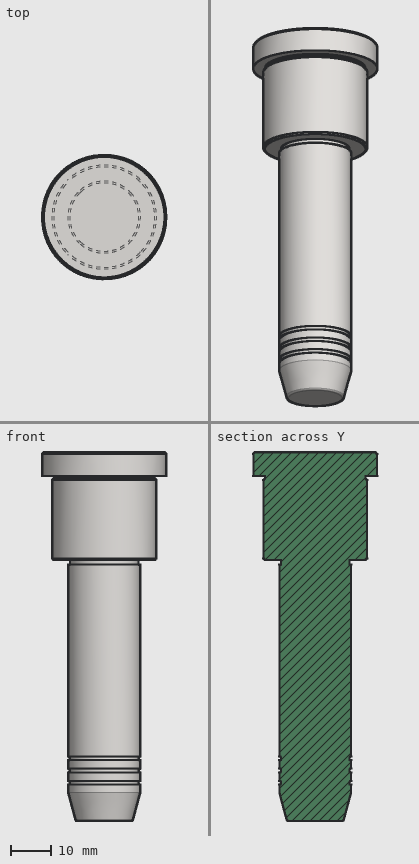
import cadquery as cq
import math

length = 92.0
head_height = 6.0
body_bottom = 65.0
nose_height = 7.2

head_radius = 31.0 / 2
body_radius = 26.0 / 2
shank_radius = 18.0 / 2

head_chamfer = 0.5
body_chamfer = 0.5
tip_fillet = 0.55

body_relief_height = 1.0
body_relief_depth = 0.5
body_relief_taper = 0.5
shank_relief_height = 1.1
shank_relief_depth = 0.5

nose_angle = 15.0
tip_radius = shank_radius - nose_height * math.tan(math.radians(nose_angle))

groove_count = 3
groove_radius = 0.5
groove_pitch = 3.0
lowest_groove_z = 9.6

head_bottom = length - head_height
body_top = head_bottom - body_relief_height
shank_top = body_bottom - shank_relief_height


def cylinder(radius, bottom, top):
    """Solid cylinder on the Z axis between two heights."""
    return cq.Workplane("XY").workplane(offset=bottom).circle(radius).extrude(top - bottom)


def make_head():
    return cylinder(head_radius, head_bottom, length).faces(">Z").chamfer(head_chamfer)


def make_body():
    """Thick body, with a relief neck that tapers out to the full radius."""
    neck_radius = body_radius - body_relief_depth
    profile = [
        (0, body_bottom),
        (body_radius - body_chamfer, body_bottom),
        (body_radius, body_bottom + body_chamfer),
        (body_radius, body_top),
        (neck_radius, body_top + body_relief_taper),
        (neck_radius, head_bottom),
        (0, head_bottom),
    ]
    return cq.Workplane("XZ").polyline(profile).close().revolve(360, (0, 0), (0, 1))


def make_shank():
    """Straight shank, relief neck above it and conical nose below it."""
    nose = (
        cq.Workplane("XY").circle(tip_radius)
        .workplane(offset=nose_height).circle(shank_radius)
        .loft(ruled=True)
        .faces("<Z").edges().fillet(tip_fillet)
    )
    straight = cylinder(shank_radius, nose_height, shank_top)
    neck = cylinder(shank_radius - shank_relief_depth, shank_top, body_bottom)
    return nose.union(straight).union(neck)


def make_oil_groove(height):
    """Ring whose inner half cuts a half-round groove into the shank."""
    return cq.Workplane("XY").add(
        cq.Solid.makeTorus(shank_radius, groove_radius, cq.Vector(0, 0, height))
    )


result = make_shank().union(make_body()).union(make_head())
for index in range(groove_count):
    result = result.cut(make_oil_groove(lowest_groove_z + index * groove_pitch))